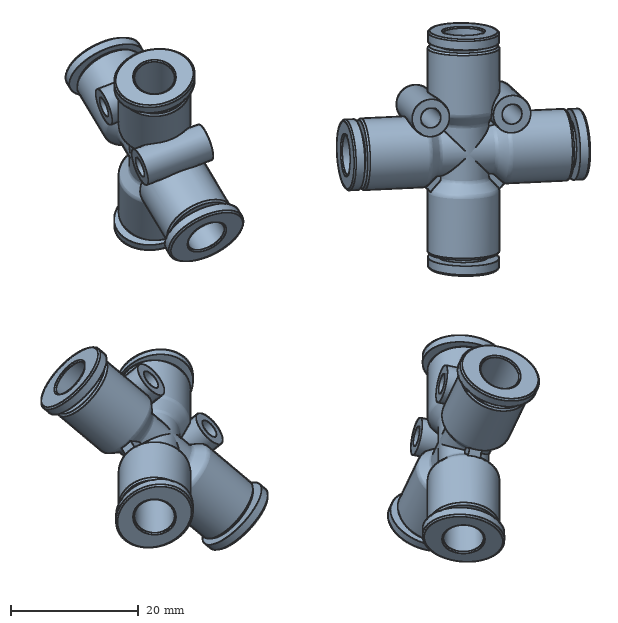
import cadquery as cq

overall_span = 37.9
port_length = overall_span / 2
pipe_radius = 3.98
body_radius = 5.65
body_end = 16.55
body_chamfer_length = 0.35
body_chamfer_depth = 0.25

shoulder_start = 4.5
shoulder_end = 6.35
shoulder_inner_fillet = 0.8
shoulder_outer_fillet = 0.95

neck_radius = 3.75
collar_width = 13.0
collar_height = 11.05
collar_thickness = 1.65
collar_chamfer = 0.25

bore_radius = 3.15
bore_lead_in = 0.23
bore_floor = shoulder_end

boss_offset = 6.5
boss_radius = 3.0
boss_hole_radius = 1.6
boss_length = 2 * body_radius

web_thickness = 2.0
web_reach = 6.82
web_corner_cut = 1.8

origin = (0, 0, 0)
y_axis = (0, 1, 0)
port_angles = [0, 90, 180, 270]
boss_sides = [-1, 1]


def revolve_about_z(points):
    """Solid of revolution about Z from (radius, height) points."""
    return cq.Workplane("XZ").polyline(points).close().revolve(360, (0, 0, 0), (0, 1, 0))


def circle_at(radius, height):
    """Selector for the circular edge of the given radius and height about Z."""
    margin = 0.05
    reach = radius + margin
    lower_corner = (-reach, -reach, height - margin)
    upper_corner = (reach, reach, height + margin)
    return cq.selectors.BoxSelector(lower_corner, upper_corner, boundingbox=True)


def make_body():
    """Half pipe, shoulder and body of the +Z port."""
    body = revolve_about_z([
        (0, 0),
        (pipe_radius, 0),
        (pipe_radius, shoulder_start),
        (body_radius, shoulder_end),
        (body_radius, body_end - body_chamfer_length),
        (body_radius - body_chamfer_depth, body_end),
        (0, body_end),
    ])
    body = body.edges(circle_at(pipe_radius, shoulder_start)).fillet(shoulder_inner_fillet)
    return body.edges(circle_at(body_radius, shoulder_end)).fillet(shoulder_outer_fillet)


def make_collar():
    """Neck and oval collar of the +Z port, with the outer rim chamfered."""
    collar_start = port_length - collar_thickness
    neck_length = collar_start - body_end
    neck = cq.Workplane("XY", origin=(0, 0, body_end)).circle(neck_radius).extrude(neck_length)
    collar = (
        cq.Workplane("XY", origin=(0, 0, collar_start))
        .ellipse(collar_height / 2, collar_width / 2)
        .extrude(collar_thickness)
        .faces(">Z")
        .edges()
        .chamfer(collar_chamfer)
    )
    return neck.union(collar)


def make_bore():
    """Blind bore with a conical lead-in, opening at the end of the +Z port."""
    return revolve_about_z([
        (0, bore_floor),
        (bore_radius, bore_floor),
        (bore_radius, port_length - bore_lead_in),
        (bore_radius + bore_lead_in, port_length),
        (0, port_length),
    ])


def make_web():
    """Flat web in the +X +Z corner, cut off at 45 degrees."""
    cut_start = web_reach - web_corner_cut
    return (
        cq.Workplane("XZ")
        .polyline([
            (0, 0),
            (web_reach, 0),
            (web_reach, cut_start),
            (cut_start, web_reach),
            (0, web_reach),
        ])
        .close()
        .extrude(web_thickness / 2, both=True)
    )


def boss_cylinder(side, radius):
    """Cylinder along Y on a boss axis; side is -1 for the -X boss and 1 for the +X boss."""
    return (
        cq.Workplane("XZ", origin=(side * boss_offset, boss_length / 2, boss_offset))
        .circle(radius)
        .extrude(boss_length)
    )


port = make_body().union(make_collar())
web = make_web()
result = port
for angle in port_angles[1:]:
    result = result.union(port.rotate(origin, y_axis, angle))
for angle in port_angles:
    result = result.union(web.rotate(origin, y_axis, angle))
for side in boss_sides:
    result = result.union(boss_cylinder(side, boss_radius))

bore = make_bore()
for angle in port_angles:
    result = result.cut(bore.rotate(origin, y_axis, angle))
for side in boss_sides:
    result = result.cut(boss_cylinder(side, boss_hole_radius))